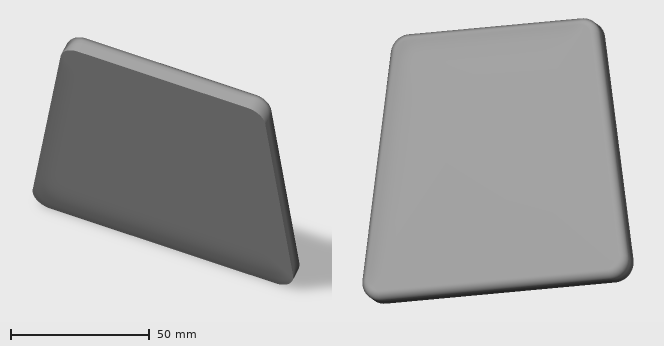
import cadquery as cq
import math

width = 101.8
height = 98.0
corner_radius = 6.9
top_edge_length = 66.2
rim_thickness = 8.0
total_thickness = 9.3
edge_fillet = 2.8
dome_ring_scale = 0.5

bottom_center_x = width / 2 - corner_radius
top_center_x = top_edge_length / 2
side_angle = math.atan2(bottom_center_x - top_center_x, height - 2 * corner_radius)

bottom_half = bottom_center_x + corner_radius * math.tan(math.pi / 4 + side_angle / 2)
top_half = top_center_x + corner_radius * math.tan(math.pi / 4 - side_angle / 2)


def rounded_plate():
    """Tapered plate with rounded corners and a fillet around its back face."""
    outline = [
        (-bottom_half, -height / 2),
        (bottom_half, -height / 2),
        (top_half, height / 2),
        (-top_half, height / 2),
    ]
    return (
        cq.Workplane("XZ")
        .polyline(outline)
        .close()
        .extrude(-rim_thickness)
        .edges("|Y")
        .fillet(corner_radius)
        .faces(">Y")
        .edges()
        .fillet(edge_fillet)
    )


def dome_back(plate):
    """Replace the flat back face by a shallow dome bounded by the same edges."""
    back_face = plate.faces(">Y").val()
    crown = cq.Vector(0, total_thickness, 0)
    ring_drop = (total_thickness - rim_thickness) * dome_ring_scale ** 2
    ring_y = total_thickness - ring_drop
    rim_points = [edge.positionAt(0.5) for edge in back_face.Edges()]
    ring = [cq.Vector(p.x * dome_ring_scale, ring_y, p.z * dome_ring_scale) for p in rim_points]
    dome_face = cq.Face.makeNSidedSurface(back_face.Edges(), [crown] + ring)
    kept_faces = plate.faces("not >Y").vals()
    shell = cq.Shell.makeShell(kept_faces + [dome_face])
    return cq.Workplane(cq.Solid.makeSolid(shell))


result = dome_back(rounded_plate())